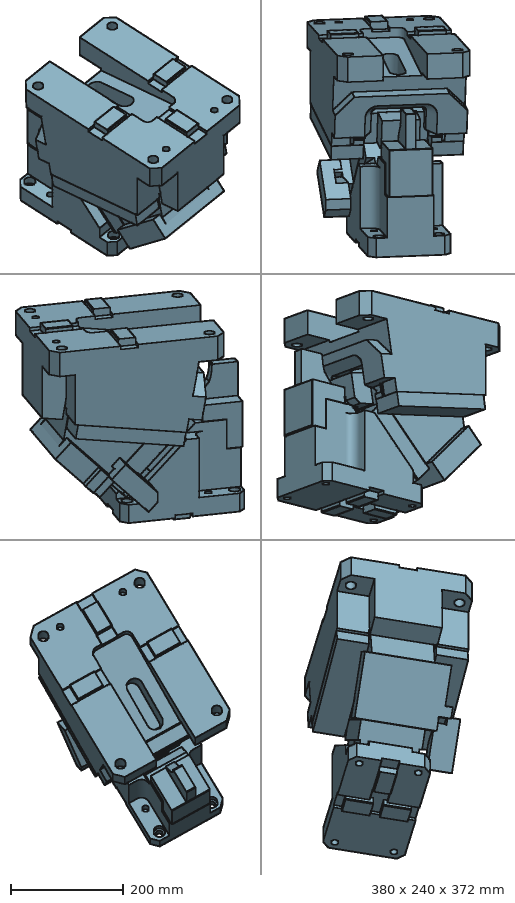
import cadquery as cq
import math


SPAN = 760.0

SLIDE_TILT = math.radians(10)
KEY_LENGTH = 50.5
KEY_PROUD = 8.0
KEY_SLOT_WIDTH = 32.3
KEY_SLOT_DEPTH = 6.0
KEY_CHAMFER = 1.5
DOWEL_DIAMETER = 12.0
DOWEL_DEPTH = 22.8

BASE_X0 = 4.0
BASE_X1 = 235.5
BASE_HALF = 75.0
BASE_CORNER = 12.5
FLANGE_TOP = 35.0
SHOULDER_TOP = 148.0
CORE_HALF = 42.0
CORE_TOP = 165.0
CORE_FLAT_END = 89.5
FACE_START_X = 115.0
SIDE_POCKET_END = 92.5
SIDE_POCKET_RADIUS = 16.0
REAR_POCKET_X = 205.0
RIDGE_HALF = 39.5
RIDGE_HEIGHT = 12.0
BASE_KEY_X = 120.0
BASE_CROSS_KEY_Y = 34.5
BASE_LONG_KEY_X = 190.0
BOLT_X = 19.8
BOLT_Y = 54.0
BOLT_DIAMETER = 12.5
BOLT_HEAD_DIAMETER = 20.5
BOLT_HEAD_DEPTH = 15.2
BASE_DOWEL_X = 68.8

POST_HALF = 39.5
POST_DEPTH = 75.2
POST_LEG_DEPTH = 30.8
POST_LEG_BOTTOM = 109.0
POST_SHOULDER = 195.7
POST_TOP = 260.3
POST_CHAMFER = 1.0
FIN_HALF = 9.0
FIN_TIP_DEPTH = 49.0
FIN_CURVE_MIDDLE_X = 50.5
FIN_CURVE_MIDDLE_Z = 239.5
FIN_CURVE_END_X = 54.0
FIN_CURVE_END_Z = 228.0
FIN_SLOPE_BOTTOM = 202.0

HOOK_HALF = 120.0
HOOK_CHAMFER = 16.7
HOOK_SIDE = 19.0
HOOK_TOP = 130.0
HOOK_MOUTH_Y = 83.2
HOOK_GROOVE_Y = 97.0
HOOK_GROOVE_BOTTOM = 94.5
HOOK_GROOVE_TOP = 115.0

FOOT_HALF = 58.5
FOOT_END_T = 150.0
FOOT_TOP_Q = 48.5
PAD_HALF = 54.7
PAD_TIP_HALF = 43.0
PAD_TAPER = 16.0
PAD_STEP = 0.8
PAD_STEP_T = 87.0
PLATE_T0 = 139.5
PLATE_T1 = 180.5
PLATE_TOP_Q = 168.5
TONGUE_Q0 = 74.5
TONGUE_Q1 = 95.0

SLIDER_S0 = 174.5
SLIDER_S1 = 362.0
SLIDER_TOP_N = 207.0
SLIDER_REAR_N = 102.5
SLIDER_UPPER_HALF = 49.8
SLIDER_LOWER_HALF = 57.5
SLIDER_STEP_N = 178.0
SLIDER_STEP_DROP = 6.5
NOSE_S0 = 133.0
NOSE_TOP_N = 209.0
NOSE_BOTTOM_N = 152.8
NOSE_HALF = 34.5
NOSE_CHAMFER = 10.5
LUG_HALF = 10.5
LUG_PROUD = 3.0
LUG_TOP_N = 170.0
LUG_RADIUS = 13.3

HOLDER_HALF = 120.0
MOUNT_X0 = 55.0
MOUNT_X1 = 380.0
MOUNT_Z0 = 310.5
MOUNT_Z1 = 356.0
MOUNT_CORNER = 15.5
BODY_S0 = 158.0
BODY_X1 = 335.5
GIB_TOP_N = 154.0
GIB_BOTTOM_N = 127.5
GIB_S0 = 159.0
GIB_S1 = 362.5
GIB_HALF = 119.7
GIB_HALF_GAP = 61.5
GAP_TOP_N = 163.5
RELIEF_HALF = 78.3
RELIEF_DEPTH = 7.5
GROOVE_Y0 = 80.0
GROOVE_Y1 = 85.5
GROOVE_BOTTOM_N = 155.5
GROOVE_DEPTH = 3.8
FRONT_S0 = 133.5
FRONT_BOTTOM_N = 179.0
FRONT_TOP_N = 256.5
FRONT_CHAMFER = 34.0
STOP_S0 = 372.8
STOP_BOTTOM_N = 143.0
STOP_HALF = GIB_HALF_GAP
ARCH_HALF = 65.5
TUNNEL_TOP_N = 222.3
TUNNEL_CHAMFER = 6.0
ARCH_TOP_N = 238.0
ARCH_RADIUS = 22.5
POCKET_HALF = 40.0
POCKET_X1 = 289.5
POCKET_RADIUS = 12.0
POCKET_FLOOR_N = 283.0
SLOT_X0 = 115.0
SLOT_X1 = 214.7
SLOT_WIDTH = 29.5
MOUNT_HOLE_DIAMETER = 18.5
MOUNT_HOLE_X = (80.0, 354.5)
MOUNT_HOLE_Y = 99.0
MOUNT_DOWEL_Y = 64.5
MOUNT_KEY_X = 235.0
CROSS_KEY_Y = 79.5
LONG_KEY_X = 334.8


def box(x0, x1, y0, y1, z0, z1):
    return cq.Workplane("XY").box(x1 - x0, y1 - y0, z1 - z0, centered=False).translate((x0, y0, z0))


def prism(points, y0, y1):
    """Extrude an XZ outline from y0 to y1."""
    return cq.Workplane("XZ", origin=(0, y0, 0)).polyline(points).close().extrude(y0 - y1)


def on_slide(s, n):
    """XZ position of a point given along and square to the slide direction."""
    cosine = math.cos(SLIDE_TILT)
    sine = math.sin(SLIDE_TILT)
    return (s * cosine - n * sine, s * sine + n * cosine)


def on_face(t, q):
    """XZ position of a point given down and square to the 45 degree face."""
    root = math.sqrt(0.5)
    return (FACE_START_X + (t + q) * root, SHOULDER_TOP + (q - t) * root)


def rectangle(place, a0, a1, b0, b1):
    return [place(a0, b0), place(a1, b0), place(a1, b1), place(a0, b1)]


def across_slide(s):
    """Plane square to the slide direction; local x is Y and local y is n."""
    x, z = on_slide(s, 0)
    direction = on_slide(1, 0)
    return cq.Workplane(cq.Plane((x, 0, z), (0, 1, 0), (direction[0], 0, direction[1])))


def mirrored(right_side):
    """Close a left-right symmetric outline given from bottom to top on one side."""
    return right_side + [(-y, n) for y, n in reversed(right_side)]


def key(x, y, mount_z, outward, along_x):
    """Locating key seated on its slot floor, outward being +1 up or -1 down."""
    length, width = (KEY_LENGTH, KEY_SLOT_WIDTH) if along_x else (KEY_SLOT_WIDTH, KEY_LENGTH)
    height = KEY_PROUD + KEY_SLOT_DEPTH
    middle = mount_z + outward * (KEY_PROUD - KEY_SLOT_DEPTH) / 2
    block = cq.Workplane("XY").box(length, width, height).translate((x, y, middle))
    tip = block.faces(">Z" if outward > 0 else "<Z")
    return tip.edges("|X" if along_x else "|Y").chamfer(KEY_CHAMFER)


def base_block():
    profile = [
        (BASE_X0, 0),
        (BASE_X1, 0),
        (BASE_X1, FLANGE_TOP),
        (FACE_START_X + SHOULDER_TOP - FLANGE_TOP, FLANGE_TOP),
        (FACE_START_X, SHOULDER_TOP),
        (BASE_X0, SHOULDER_TOP),
    ]
    block = prism(profile, -BASE_HALF, BASE_HALF)
    corners = box(BASE_X0, BASE_X1, -BASE_HALF, BASE_HALF, 0, CORE_TOP).edges("|Z").chamfer(BASE_CORNER)
    block = block.intersect(corners)
    for side in (-1, 1):
        middle = side * (CORE_HALF + BASE_HALF)
        pocket = box(BASE_X0 - BASE_HALF, SIDE_POCKET_END, -BASE_HALF, BASE_HALF, FLANGE_TOP, CORE_TOP)
        pocket = pocket.edges("|Z and >X").fillet(SIDE_POCKET_RADIUS).translate((0, middle, 0))
        block = block.cut(pocket)
        inner, outer = sorted((side * RIDGE_HALF, side * BASE_HALF))
        block = block.cut(box(REAR_POCKET_X, BASE_X1, inner, outer, FLANGE_TOP, CORE_TOP))
    return block


def base_core():
    profile = [
        (BASE_X0, FLANGE_TOP),
        (CORE_FLAT_END + CORE_TOP - SHOULDER_TOP, FLANGE_TOP),
        (CORE_FLAT_END + CORE_TOP - SHOULDER_TOP, SHOULDER_TOP),
        (CORE_FLAT_END, CORE_TOP),
        (BASE_X0, CORE_TOP),
    ]
    return prism(profile, -CORE_HALF, CORE_HALF)


def stop_ridge():
    """Raised stretch at the toe of the 45 degree face, where the slider's pad ends."""
    far = SHOULDER_TOP * math.sqrt(2)
    outline = rectangle(on_face, FOOT_END_T, far, -RIDGE_HEIGHT, RIDGE_HEIGHT)
    ridge = prism(outline, -RIDGE_HALF, RIDGE_HALF)
    return ridge.intersect(box(BASE_X0, BASE_X1, -RIDGE_HALF, RIDGE_HALF, KEY_SLOT_DEPTH, SPAN))


def post():
    """L-shaped block capping the driver's core, with a thin fin on top."""
    leg_outline = [
        (0, POST_LEG_BOTTOM),
        (POST_LEG_DEPTH, POST_LEG_BOTTOM),
        (POST_LEG_DEPTH, CORE_TOP),
        (POST_DEPTH, CORE_TOP),
        (POST_DEPTH, POST_SHOULDER),
        (0, POST_SHOULDER),
    ]
    cap = prism(leg_outline, -POST_HALF, POST_HALF).faces("<X").edges().chamfer(POST_CHAMFER)
    curve_start = (FIN_TIP_DEPTH, POST_TOP - 2 * POST_CHAMFER)
    curve_middle = (FIN_CURVE_MIDDLE_X, FIN_CURVE_MIDDLE_Z)
    curve_end = (FIN_CURVE_END_X, FIN_CURVE_END_Z)
    fin = (
        cq.Workplane("XZ", origin=(0, FIN_HALF, 0))
        .moveTo(0, POST_SHOULDER)
        .lineTo(POST_DEPTH, POST_SHOULDER)
        .lineTo(POST_DEPTH, FIN_SLOPE_BOTTOM)
        .lineTo(*curve_end)
        .threePointArc(curve_middle, curve_start)
        .lineTo(FIN_TIP_DEPTH - 2 * POST_CHAMFER, POST_TOP)
        .lineTo(POST_CHAMFER, POST_TOP)
        .lineTo(0, POST_TOP - POST_CHAMFER)
        .close()
        .extrude(2 * FIN_HALF)
    )
    return cap.union(fin)


def return_hook():
    """Bracket on the +Y flank whose lip holds the slider's tongue."""
    flush_x = on_face(PLATE_T0, 0)[0] - on_face(PLATE_T0, 0)[1]
    foot_x = flush_x + FLANGE_TOP
    left_x = foot_x - HOOK_CHAMFER
    side_top = FLANGE_TOP + HOOK_CHAMFER + HOOK_SIDE
    tip_x = left_x + HOOK_TOP - side_top
    tip_drop = (flush_x - tip_x + HOOK_TOP) / 2
    profile = [
        (foot_x, FLANGE_TOP),
        (left_x, FLANGE_TOP + HOOK_CHAMFER),
        (left_x, side_top),
        (tip_x, HOOK_TOP),
        (tip_x + tip_drop, HOOK_TOP - tip_drop),
    ]
    hook = prism(profile, BASE_HALF, HOOK_HALF)
    hook = hook.cut(box(0, SPAN, BASE_HALF, HOOK_GROOVE_Y, HOOK_GROOVE_BOTTOM, HOOK_GROOVE_TOP))
    return hook.cut(box(0, SPAN, BASE_HALF, HOOK_MOUTH_Y, HOOK_GROOVE_TOP, SPAN))


def make_driver():
    driver = base_block().union(base_core()).union(stop_ridge())
    driver = driver.cut(box(BASE_X0, POST_LEG_DEPTH, -CORE_HALF, CORE_HALF, POST_LEG_BOTTOM, CORE_TOP))
    driver = driver.union(post()).union(return_hook())

    half_slot = KEY_SLOT_WIDTH / 2
    driver = driver.cut(box(BASE_KEY_X - half_slot, BASE_KEY_X + half_slot, -SPAN, SPAN, 0, KEY_SLOT_DEPTH))
    driver = driver.cut(box(BASE_KEY_X, BASE_X1, -half_slot, half_slot, 0, KEY_SLOT_DEPTH))
    for side in (-1, 1):
        driver = driver.union(key(BASE_KEY_X, side * BASE_CROSS_KEY_Y, 0, -1, False))
    driver = driver.union(key(BASE_LONG_KEY_X, 0, 0, -1, True))

    bolts = [(x, y) for x in (BOLT_X, BASE_X0 + BASE_X1 - BOLT_X) for y in (-BOLT_Y, BOLT_Y)]
    dowels = [(BASE_DOWEL_X, -BOLT_Y), (BASE_DOWEL_X, BOLT_Y)]
    flange = cq.Workplane("XY", origin=(0, 0, FLANGE_TOP))
    driver = driver.cut(flange.pushPoints(bolts).circle(BOLT_DIAMETER / 2).extrude(-FLANGE_TOP))
    driver = driver.cut(flange.pushPoints(bolts).circle(BOLT_HEAD_DIAMETER / 2).extrude(-BOLT_HEAD_DEPTH))
    return driver.cut(flange.pushPoints(dowels).circle(DOWEL_DIAMETER / 2).extrude(-DOWEL_DEPTH))


def slider_flank(lower_half):
    """Stretch of a cross-section where the slider narrows to its upper part."""
    return [
        (lower_half, SLIDER_STEP_N - SLIDER_STEP_DROP),
        (SLIDER_UPPER_HALF, SLIDER_STEP_N),
    ]


def slider_carriage():
    head_gap = on_face(0, 0)[1] - on_face(0, 0)[0]
    sine = math.sin(SLIDE_TILT)
    cosine = math.cos(SLIDE_TILT)
    meet_n = (head_gap + SLIDER_S0 * (cosine - sine)) / (cosine + sine)
    plate_middle = (PLATE_T0 + PLATE_T1) / 2
    side = [
        on_face(0, RIDGE_HEIGHT),
        on_slide(SLIDER_S0, meet_n),
        on_slide(SLIDER_S0, SLIDER_TOP_N),
        on_slide(SLIDER_S1, SLIDER_TOP_N),
        on_slide(SLIDER_S1, SLIDER_REAR_N),
        on_face(plate_middle, PLATE_TOP_Q),
        on_face(plate_middle, FOOT_TOP_Q),
        on_face(FOOT_END_T, FOOT_TOP_Q),
        on_face(FOOT_END_T, RIDGE_HEIGHT),
    ]
    outline = mirrored(
        [(SLIDER_LOWER_HALF, 0)]
        + slider_flank(SLIDER_LOWER_HALF)
        + [(SLIDER_UPPER_HALF, SLIDER_TOP_N)]
    )
    section = across_slide(0).polyline(outline).close().extrude(SPAN)
    return prism(side, -FOOT_HALF, FOOT_HALF).intersect(section)


def slider_foot():
    foot = prism(rectangle(on_face, 0, FOOT_END_T, RIDGE_HEIGHT, FOOT_TOP_Q), -FOOT_HALF, FOOT_HALF)
    below_gibs = rectangle(on_slide, SLIDER_S0 - GIB_TOP_N, SPAN, 0, GIB_TOP_N)
    return foot.intersect(prism(below_gibs, -FOOT_HALF, FOOT_HALF))


def wear_pad():
    """Pad lying on the driver's face, tapered at its upper end and stepped along its sides."""
    outline = [
        (0, PAD_TIP_HALF),
        (PAD_TAPER, PAD_HALF),
        (PAD_STEP_T, PAD_HALF),
        (PAD_STEP_T, PAD_HALF - PAD_STEP),
        (FOOT_END_T, PAD_HALF - PAD_STEP),
    ]
    outline += [(t, -y) for t, y in reversed(outline)]
    plane = cq.Plane((FACE_START_X, 0, SHOULDER_TOP), (1, 0, -1), (1, 0, 1))
    return cq.Workplane(plane).polyline(outline).close().extrude(RIDGE_HEIGHT)


def slider_nose():
    """Block standing forward of the carriage inside the holder's arch."""
    outline = [
        on_slide(SLIDER_S0, NOSE_TOP_N),
        on_slide(NOSE_S0, NOSE_TOP_N),
        on_slide(NOSE_S0, NOSE_BOTTOM_N + NOSE_CHAMFER),
        on_slide(NOSE_S0 + NOSE_CHAMFER, NOSE_BOTTOM_N),
        on_slide(SLIDER_S0, NOSE_BOTTOM_N),
    ]
    nose = prism(outline, -NOSE_HALF, NOSE_HALF)
    lug_s0 = NOSE_S0 - LUG_PROUD
    lug_n0 = NOSE_BOTTOM_N - LUG_PROUD
    length = BODY_S0 - lug_s0
    height = LUG_TOP_N - lug_n0
    lug = across_slide(lug_s0).center(0, lug_n0 + height / 2).rect(2 * LUG_HALF, height).extrude(length)
    x, z = on_slide(lug_s0, lug_n0)
    lower_front = cq.selectors.NearestToPointSelector((x, 0, z))
    return nose.union(lug.edges(lower_front).fillet(LUG_RADIUS))


def make_slider():
    slider = slider_carriage().union(slider_foot()).union(wear_pad()).union(slider_nose())
    end_plate = prism(rectangle(on_face, PLATE_T0, PLATE_T1, FOOT_TOP_Q, PLATE_TOP_Q), -BASE_HALF, BASE_HALF)
    ear = prism(rectangle(on_face, PLATE_T0, PLATE_T1, TONGUE_Q0, PLATE_TOP_Q), BASE_HALF, HOOK_MOUTH_Y)
    tongue = prism(rectangle(on_face, PLATE_T0, PLATE_T1, TONGUE_Q0, TONGUE_Q1), BASE_HALF, HOOK_GROOVE_Y)
    return slider.union(end_plate).union(ear).union(tongue)


def mounting_plate():
    plate = box(MOUNT_X0, MOUNT_X1, -HOLDER_HALF, HOLDER_HALF, MOUNT_Z0, MOUNT_Z1)
    return plate.edges("|Z").chamfer(MOUNT_CORNER)


def holder_body():
    tilt = math.tan(SLIDE_TILT)
    top_left = (BODY_S0 / math.cos(SLIDE_TILT) - MOUNT_Z0 * tilt, MOUNT_Z0)
    bottom_right = (BODY_X1, BODY_X1 * tilt + GIB_TOP_N / math.cos(SLIDE_TILT))
    outline = [top_left, on_slide(BODY_S0, GIB_TOP_N), bottom_right, (BODY_X1, MOUNT_Z0)]
    body = prism(outline, -HOLDER_HALF, HOLDER_HALF)
    gib = rectangle(on_slide, GIB_S0, GIB_S1, GIB_BOTTOM_N, GIB_TOP_N)
    return body.union(prism(gib, -GIB_HALF, GIB_HALF))


def front_plate():
    outline = mirrored([
        (HOLDER_HALF, FRONT_BOTTOM_N),
        (HOLDER_HALF, FRONT_TOP_N - FRONT_CHAMFER),
        (HOLDER_HALF - FRONT_CHAMFER, FRONT_TOP_N),
    ])
    return across_slide(FRONT_S0).polyline(outline).close().extrude(BODY_S0 - FRONT_S0)


def rear_stop():
    tilt = math.tan(SLIDE_TILT)
    far_z = MOUNT_X1 * tilt + STOP_BOTTOM_N / math.cos(SLIDE_TILT)
    top_x = STOP_S0 / math.cos(SLIDE_TILT) - MOUNT_Z0 * tilt
    outline = [on_slide(STOP_S0, STOP_BOTTOM_N), (MOUNT_X1, far_z), (MOUNT_X1, MOUNT_Z0), (top_x, MOUNT_Z0)]
    return prism(outline, -STOP_HALF, STOP_HALF)


def slider_tunnel():
    outline = mirrored(
        [(GIB_HALF_GAP, 0), (GIB_HALF_GAP, GAP_TOP_N), (SLIDER_LOWER_HALF, GAP_TOP_N)]
        + slider_flank(SLIDER_LOWER_HALF)
        + [(SLIDER_UPPER_HALF, TUNNEL_TOP_N - TUNNEL_CHAMFER)]
        + [(SLIDER_UPPER_HALF - TUNNEL_CHAMFER, TUNNEL_TOP_N)]
    )
    return across_slide(FRONT_S0).polyline(outline).close().extrude(STOP_S0 - FRONT_S0)


def arch_mouth():
    """Rounded opening in the front plate, narrowing inward to the tunnel."""
    depth = BODY_S0 - FRONT_S0
    inset = ARCH_HALF - SLIDER_UPPER_HALF
    draft = math.degrees(math.atan(inset / depth))
    height = ARCH_TOP_N - GAP_TOP_N + 2 * inset
    middle = ARCH_TOP_N - height / 2
    mouth = across_slide(FRONT_S0).center(0, middle).sketch().rect(2 * ARCH_HALF, height)
    return mouth.vertices().fillet(ARCH_RADIUS).finalize().extrude(depth, taper=draft)


def front_reliefs():
    """Notch and groove in the body's front on each side of the tunnel."""
    notch = rectangle(on_slide, BODY_S0, BODY_S0 + RELIEF_DEPTH, GAP_TOP_N, FRONT_BOTTOM_N)
    groove = rectangle(on_slide, BODY_S0, BODY_S0 + GROOVE_DEPTH, GROOVE_BOTTOM_N, FRONT_BOTTOM_N)
    reliefs = prism(notch, -RELIEF_HALF, RELIEF_HALF)
    for side in (-1, 1):
        reliefs = reliefs.union(prism(groove, *sorted((side * GROOVE_Y0, side * GROOVE_Y1))))
    return reliefs


def top_pocket():
    """Pocket open to the front, its floor parallel to the slide direction."""
    pocket = box(MOUNT_X0 - POCKET_HALF, POCKET_X1, -POCKET_HALF, POCKET_HALF, 0, MOUNT_Z1)
    pocket = pocket.edges("|Z and >X").fillet(POCKET_RADIUS)
    above_floor = rectangle(on_slide, 0, SPAN, POCKET_FLOOR_N, SPAN)
    return pocket.intersect(prism(above_floor, -POCKET_HALF, POCKET_HALF))


def floor_slot():
    """Round-ended slot from the pocket floor down to the tunnel."""
    tilt = math.tan(SLIDE_TILT)
    cosine = math.cos(SLIDE_TILT)
    s0, s1 = [x / cosine + POCKET_FLOOR_N * tilt for x in (SLOT_X0, SLOT_X1)]
    x, z = on_slide((s0 + s1) / 2, TUNNEL_TOP_N)
    up = on_slide(0, 1)
    along = on_slide(1, 0)
    plane = cq.Plane((x, 0, z), (along[0], 0, along[1]), (up[0], 0, up[1]))
    return cq.Workplane(plane).slot2D(s1 - s0, SLOT_WIDTH).extrude(POCKET_FLOOR_N - TUNNEL_TOP_N)


def make_holder():
    holder = mounting_plate().union(holder_body()).union(front_plate()).union(rear_stop())
    holder = holder.cut(slider_tunnel()).cut(arch_mouth()).cut(front_reliefs())

    half_slot = KEY_SLOT_WIDTH / 2
    slot_floor = MOUNT_Z1 - KEY_SLOT_DEPTH
    cross_x0 = MOUNT_KEY_X - half_slot
    cross_x1 = MOUNT_KEY_X + half_slot
    holder = holder.cut(box(cross_x0, cross_x1, -SPAN, SPAN, slot_floor, MOUNT_Z1))
    holder = holder.cut(box(MOUNT_KEY_X, MOUNT_X1, -half_slot, half_slot, slot_floor, MOUNT_Z1))
    holder = holder.cut(top_pocket()).cut(floor_slot())
    for side in (-1, 1):
        holder = holder.union(key(MOUNT_KEY_X, side * CROSS_KEY_Y, MOUNT_Z1, 1, False))
    holder = holder.union(key(LONG_KEY_X, 0, MOUNT_Z1, 1, True))

    holes = [(x, y) for x in MOUNT_HOLE_X for y in (-MOUNT_HOLE_Y, MOUNT_HOLE_Y)]
    dowels = [(MOUNT_HOLE_X[1], -MOUNT_DOWEL_Y), (MOUNT_HOLE_X[1], MOUNT_DOWEL_Y)]
    top = cq.Workplane("XY", origin=(0, 0, MOUNT_Z1))
    holder = holder.cut(top.pushPoints(holes).circle(MOUNT_HOLE_DIAMETER / 2).extrude(MOUNT_Z0 - MOUNT_Z1))
    return holder.cut(top.pushPoints(dowels).circle(DOWEL_DIAMETER / 2).extrude(-DOWEL_DEPTH))


driver = make_driver()
slider = make_slider()
holder = make_holder()

result = cq.Compound.makeCompound([driver.val(), slider.val(), holder.val()])